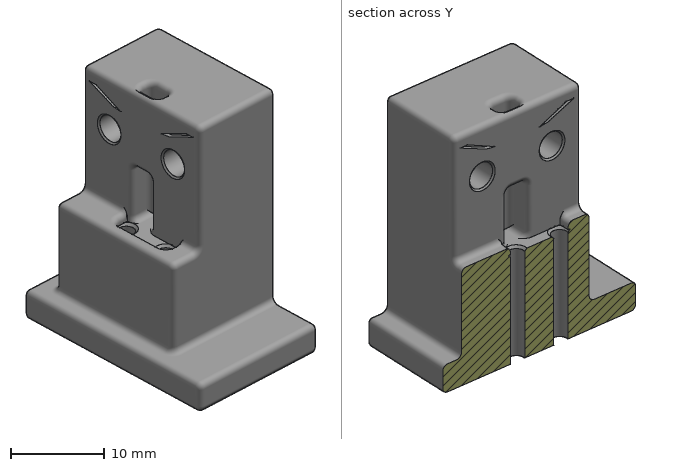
import cadquery as cq

base_length = 27.03
base_depth = 17.73
base_height = 3.6
base_overhang_left = 2.62
total_height = 30.52
block_width = 17.9
block_depth = 15.4
tower_depth = 11.43
step_height = 14.8
edge_radius = 0.7

cross_hole_diameter = 3.2
cross_hole_spacing = 9.75
cross_hole_height = 24.2
cross_hole_chamfer = 0.2

channel_width = 3.0
channel_depth = 2.0
channel_corner_radius = 0.75
channel_wall = 1.05
window_top = 21.1

drop_hole_diameter = 2.0
drop_hole_spacing = 6.05
drop_hole_offset = 1.15
drop_hole_x = 1.95
drop_hole_chamfer = 0.3
pocket_depth = 1.0

brow_depth = 0.5
brow_outline = [
    (7.95, 28.97),
    (6.9, 28.97),
    (3.1, 27.24),
    (4.3, 27.4),
]

block_left = -block_width / 2
base_left = block_left - base_overhang_left
channel_front = -tower_depth + channel_wall
channel_back = channel_front + channel_depth
pocket_floor = step_height - pocket_depth
drop_hole_y = -tower_depth - drop_hole_offset
pocket_radius = drop_hole_diameter / 2
pocket_half_width = drop_hole_spacing / 2 + pocket_radius
cap_reach = 2 * edge_radius
margin = 0.05


def box(left, right, front, back, bottom, top):
    """Block between the given limits along X, Y and Z."""
    size = (right - left, back - front, top - bottom)
    return cq.Workplane("XY").box(*size, centered=False).translate((left, front, bottom))


def edges_inside(left, right, front, back, bottom, top):
    """Selector for the edges that lie wholly within the given limits."""
    return cq.selectors.BoxSelector((left, front, bottom), (right, back, top), boundingbox=True)


def make_body():
    """Base plate and stepped block, every edge rounded."""
    base = box(base_left, base_left + base_length, -base_depth, 0, 0, base_height)
    block_side = [
        (0, base_height),
        (0, total_height),
        (-tower_depth, total_height),
        (-tower_depth, step_height),
        (-block_depth, step_height),
        (-block_depth, base_height),
    ]
    block = cq.Workplane("YZ").polyline(block_side).close().extrude(block_width)
    return base.union(block.translate((block_left, 0, 0))).edges().fillet(edge_radius)


def cut_pocket(part):
    """Pocket in the step, open to the tower face below the step, with a rounded rim."""
    left = drop_hole_x - pocket_half_width
    right = drop_hole_x + pocket_half_width
    front = drop_hole_y - pocket_radius
    pocket = box(left, right, front, -tower_depth, pocket_floor, step_height + edge_radius)
    pocket = pocket.edges("|Z and <Y").fillet(pocket_radius)
    part = part.cut(pocket)
    rim = edges_inside(
        left - margin, right + margin, front - margin, -tower_depth + margin,
        step_height - margin, step_height + edge_radius + margin,
    )
    return part.edges(rim).fillet(edge_radius)


def make_shaft():
    """Space of the channel from the top down into the window, with its flared mouth."""
    half = channel_width / 2
    shaft = box(-half, half, channel_front, channel_back, window_top - channel_corner_radius, total_height)
    shaft = shaft.edges("|Z").fillet(channel_corner_radius)
    cap = box(
        -half - cap_reach, half + cap_reach, channel_front - cap_reach, channel_back + cap_reach,
        total_height, total_height + cap_reach,
    )
    mouth = edges_inside(
        -half - margin, half + margin, channel_front - margin, channel_back + margin,
        total_height - margin, total_height + margin,
    )
    return shaft.union(cap).edges(mouth).fillet(edge_radius).cut(cap)


def make_window():
    """Space of the channel's front opening: a round-cornered tunnel, flared at the tower face."""
    half = channel_width / 2
    tunnel = box(-half, half, -tower_depth, channel_back, pocket_floor, window_top)
    tunnel = tunnel.edges("|Y").fillet(channel_corner_radius)
    round_back = box(-half, half, -tower_depth, channel_back, pocket_floor, window_top)
    round_back = round_back.edges("|Z and >Y").fillet(channel_corner_radius)
    tunnel = tunnel.intersect(round_back)
    cap = box(
        -half - cap_reach, half + cap_reach, -tower_depth - cap_reach, -tower_depth,
        pocket_floor - cap_reach, window_top + cap_reach,
    )
    mouth = edges_inside(
        -half - margin, half + margin, -tower_depth - margin, -tower_depth + margin,
        pocket_floor - margin, window_top + margin,
    )
    window = tunnel.union(cap).edges(mouth).fillet(edge_radius).cut(cap)
    above_floor = box(
        -half - cap_reach, half + cap_reach, -tower_depth, channel_back,
        pocket_floor, window_top + cap_reach,
    )
    return window.intersect(above_floor)


def cut_cross_holes(part):
    """Holes through the tower along Y, chamfered at the tower face."""
    for x in (-cross_hole_spacing / 2, cross_hole_spacing / 2):
        hole = cq.Workplane("XZ", origin=(x, 0, cross_hole_height)).circle(cross_hole_diameter / 2)
        hole = hole.extrude(tower_depth)
        part = part.cut(hole)
        rim = edges_inside(
            x - cross_hole_diameter, x + cross_hole_diameter, -tower_depth - margin, -tower_depth + margin,
            cross_hole_height - cross_hole_diameter, cross_hole_height + cross_hole_diameter,
        )
        part = part.edges(rim).edges("%CIRCLE").chamfer(cross_hole_chamfer)
    return part


def cut_drop_holes(part):
    """Countersunk holes from the pocket floor through the underside."""
    hole_radius = drop_hole_diameter / 2
    for side in (-1, 1):
        x = drop_hole_x + side * drop_hole_spacing / 2
        hole = cq.Workplane("XY", origin=(x, drop_hole_y, 0)).circle(hole_radius).extrude(pocket_floor)
        countersink = cq.Workplane("XY").add(
            cq.Solid.makeCone(
                hole_radius, hole_radius + drop_hole_chamfer, drop_hole_chamfer,
                cq.Vector(x, drop_hole_y, pocket_floor - drop_hole_chamfer),
            )
        )
        part = part.cut(hole).cut(countersink)
    return part


def cut_brows(part):
    """Mirrored shallow grooves in the tower face."""
    for side in (-1, 1):
        outline = [(side * x, z) for x, z in brow_outline]
        brow = cq.Workplane("XZ", origin=(0, -tower_depth, 0)).polyline(outline).close()
        part = part.cut(brow.extrude(-brow_depth))
    return part


body = cut_pocket(make_body())
body = body.cut(make_shaft()).cut(make_window())
body = cut_cross_holes(body)
body = cut_drop_holes(body)
result = cut_brows(body)